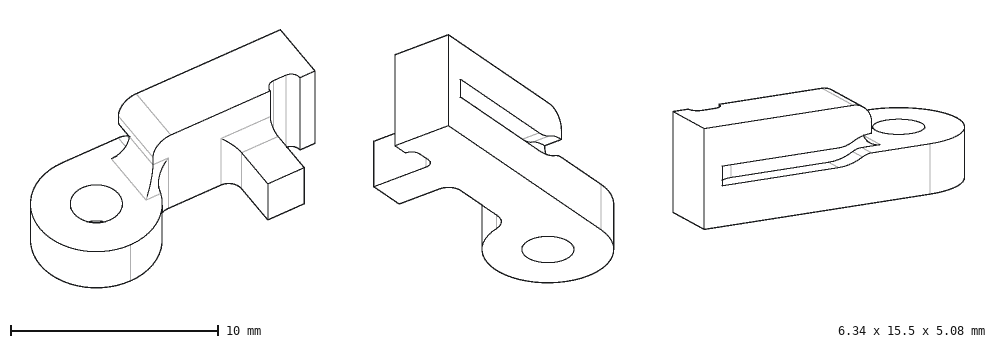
import cadquery as cq
import math

length = 15.48
height = 5.08
eye_radius = 3.17
hole_radius = 1.25
plate_height = 2.54
arm_width = 3.2
blend_radius = 1.0

tab_front = 7.72
tab_back = 9.78
tab_blend = 0.73

notch_depth = 0.5
notch_length = 1.67

slot_depth = 1.0
slot_height = 0.99
slot_drop = 0.48
slot_end_gap = 0.99
lower_bend_radius = 2.63
upper_bend_radius = 1.0

arm_left = -eye_radius
arm_right = arm_left + arm_width
arm_back = length - eye_radius
arm_front = eye_radius


def box(x_min, x_max, y_min, y_max, z_max):
    """Block standing on the bottom plane."""
    return cq.Workplane("XY").box(
        x_max - x_min, y_max - y_min, z_max, centered=False
    ).translate((x_min, y_min, 0))


def corner_web(blend, y_min, y_max):
    """Block beside the arm whose upper face coves down to the plate height."""
    return (
        cq.Workplane("XZ", origin=(0, y_max, 0))
        .moveTo(arm_left, 0)
        .lineTo(arm_right + blend, 0)
        .lineTo(arm_right + blend, plate_height)
        .radiusArc((arm_right, plate_height + blend), blend)
        .lineTo(arm_right, height)
        .lineTo(arm_left, height)
        .close()
        .extrude(y_max - y_min)
    )


def plan_fillet(x, y_corner, y_tangent, end_x, end_y, radius):
    """Full-height filler between the arm side and a neighbour, bounded by a concave arc."""
    return (
        cq.Workplane("XY")
        .moveTo(x, y_corner)
        .lineTo(x, y_tangent)
        .radiusArc((end_x, end_y), radius)
        .lineTo(end_x, y_corner)
        .close()
        .extrude(height)
    )


def make_eye():
    return cq.Workplane("XY").circle(eye_radius).extrude(plate_height)


def make_arm():
    """Arm and eye neck, with a rounded front edge and coves onto the eye."""
    cove_front = arm_front - blend_radius
    side_shape = (
        cq.Workplane("YZ", origin=(arm_left, 0, 0))
        .moveTo(arm_back, 0)
        .lineTo(arm_back, height)
        .lineTo(arm_front + blend_radius, height)
        .radiusArc((arm_front, height - blend_radius), -blend_radius)
        .lineTo(arm_front, plate_height + blend_radius)
        .radiusArc((cove_front, plate_height), blend_radius)
        .lineTo(cove_front, 0)
        .close()
        .extrude(2 * eye_radius)
    )

    center_x = arm_right + blend_radius
    center_distance = eye_radius + blend_radius
    center_y = math.sqrt(center_distance**2 - center_x**2)
    touch_x = center_x * eye_radius / center_distance
    touch_y = center_y * eye_radius / center_distance
    fillet = plan_fillet(arm_right, 0, center_y, touch_x, touch_y, -blend_radius)
    plan = (
        box(arm_left, arm_right, 0, arm_back, height)
        .union(fillet)
        .union(cq.Workplane("XY").circle(eye_radius).extrude(height))
    )
    webbed = corner_web(blend_radius, 0, arm_back)
    arm = side_shape.intersect(plan).intersect(webbed)
    return arm.union(box(arm_left, arm_right, 0, arm_front, plate_height))


def make_tab():
    """Side tab, coved onto the arm above and filleted to it in plan."""
    tab_plan = box(arm_left, eye_radius, tab_front, tab_back, height).union(
        plan_fillet(
            arm_right, tab_back, tab_front - tab_blend,
            arm_right + tab_blend, tab_front, tab_blend,
        )
    )
    webbed = corner_web(tab_blend, tab_front - tab_blend, tab_back)
    slab = box(arm_left, eye_radius, tab_front, tab_back, plate_height)
    return webbed.intersect(tab_plan).union(slab)


def make_notch():
    """Round-cornered notch through the arm behind the tab."""
    notch_back = tab_back + notch_length
    notch_bottom = arm_right - notch_depth
    return (
        cq.Workplane("XY")
        .moveTo(arm_right, tab_back)
        .radiusArc((notch_bottom, tab_back + notch_depth), notch_depth)
        .lineTo(notch_bottom, notch_back - notch_depth)
        .radiusArc((arm_right, notch_back), notch_depth)
        .close()
        .extrude(height)
    )


def make_slot():
    """Side slot that rises through two concentric-walled bends to the plate top."""
    rise_end = arm_front
    radius_sum = lower_bend_radius + upper_bend_radius
    rise_length = math.sqrt(2 * radius_sum * slot_drop - slot_drop**2)
    rise_start = rise_end + rise_length
    floor = plate_height - slot_drop
    angle = math.asin(rise_length / radius_sum)
    slot_end = arm_back - slot_end_gap

    def bend_point(offset):
        """Tangent point of the two bends on a wall offset above the floor."""
        radius = lower_bend_radius - offset
        y = rise_start - radius * math.sin(angle)
        z = floor + lower_bend_radius - radius * math.cos(angle)
        return y, z

    profile = (
        cq.Workplane("YZ", origin=(arm_left, 0, 0))
        .moveTo(slot_end, floor)
        .lineTo(rise_start, floor)
        .radiusArc(bend_point(0), lower_bend_radius)
        .radiusArc((rise_end, plate_height), -upper_bend_radius)
        .lineTo(0, plate_height)
        .lineTo(0, plate_height + slot_height)
        .lineTo(rise_end, plate_height + slot_height)
        .radiusArc(bend_point(slot_height), upper_bend_radius + slot_height)
        .radiusArc((rise_start, floor + slot_height), -(lower_bend_radius - slot_height))
        .lineTo(slot_end, floor + slot_height)
        .close()
        .extrude(slot_depth)
    )
    plan = (
        cq.Workplane("XY")
        .moveTo(arm_left, 0)
        .lineTo(arm_left, slot_end)
        .radiusArc((arm_left + slot_depth, slot_end - slot_depth), slot_depth)
        .lineTo(arm_left + slot_depth, 0)
        .close()
        .extrude(height)
    )
    return profile.intersect(plan)


hole = cq.Workplane("XY").circle(hole_radius).extrude(plate_height)
result = make_eye().union(make_arm()).union(make_tab()).cut(make_notch()).cut(make_slot()).cut(hole)